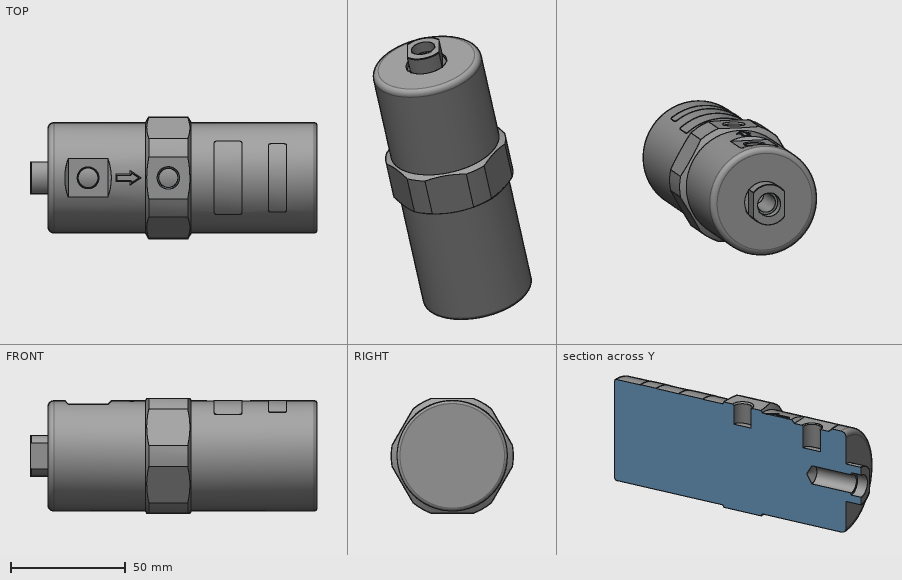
import cadquery as cq
import math

total_length = 124.7
body_diameter = 48.0
body_start = 7.6
body_nose_fillet = 2.6
body_tail_fillet = 1.2

collar_start = 50.0
collar_length = 20.0
collar_across_flats = 50.0
collar_corner_diameter = 53.2
collar_chamfer_angle = 30.0

stub_diameter = 18.0
stub_across_flats = 14.0
stub_flat_end = 8.2
stub_edge_chamfer = 0.1
stub_edge_chamfer_length = 0.4

port_entry_diameter = 10.4
port_entry_depth = 5.0
port_bore_diameter = 8.4
port_bore_end = 25.0
drill_point_angle = 118.0

recess_center = 25.1
recess_floor_length = 17.2
recess_floor_width = 16.8

recess_hole_mouth_diameter = 9.5
recess_hole_diameter = 8.6
recess_hole_core_radius = 12.0
collar_hole_mouth_diameter = 9.7
collar_hole_diameter = 8.4
collar_hole_core_radius = 15.6

arrow_tail = 37.2
arrow_head_base = 43.4
arrow_tip = 48.1
arrow_shaft_half_width = 1.6
arrow_head_half_width = 3.1
arrow_line_width = 0.5
arrow_depth = 0.2

label_pads = [(79.9, 12.1, 31.9), (103.5, 8.0, 29.7)]
label_corner_radius = 1.0
label_thickness = 0.1

body_radius = body_diameter / 2
recess_floor_height = math.sqrt(body_radius**2 - (recess_floor_width / 2) ** 2)
collar_end = collar_start + collar_length

flat_depth = (stub_diameter - stub_across_flats) / 2
stub_end = stub_flat_end + flat_depth


def cylinder_x(diameter, start, end):
    """Cylinder on the X axis between two stations."""
    return cq.Workplane("YZ", origin=(start, 0, 0)).circle(diameter / 2).extrude(end - start)


def make_body():
    """Round body with rounded rims at both ends."""
    body = cylinder_x(body_diameter, body_start, total_length)
    body = body.faces("<X").edges().fillet(body_nose_fillet)
    return body.faces(">X").edges().fillet(body_tail_fillet)


def make_collar():
    """Hexagon with flats at top and bottom, turned to a cylinder with conical ends."""
    hexagon = (
        cq.Workplane("YZ", origin=(collar_start, 0, 0))
        .polygon(6, collar_across_flats, circumscribed=True)
        .extrude(collar_length)
        .rotate((0, 0, 0), (1, 0, 0), 30)
    )
    corner_radius = collar_corner_diameter / 2
    chamfer_length = (corner_radius - body_radius) * math.tan(math.radians(collar_chamfer_angle))
    turned = (
        cq.Workplane("XZ")
        .moveTo(collar_start, 0)
        .lineTo(collar_start, body_radius)
        .lineTo(collar_start + chamfer_length, corner_radius)
        .lineTo(collar_end - chamfer_length, corner_radius)
        .lineTo(collar_end, body_radius)
        .lineTo(collar_end, 0)
        .close()
        .revolve(360, (0, 0, 0), (1, 0, 0))
    )
    return hexagon.intersect(turned)


def make_stub():
    """Round plug set into the body, with two wrench flats that run out at 45 degrees."""
    radius = stub_diameter / 2
    half_flats = stub_across_flats / 2
    stub = (
        cq.Workplane("XZ")
        .lineTo(0, radius - stub_edge_chamfer)
        .lineTo(stub_edge_chamfer_length, radius)
        .lineTo(stub_end, radius)
        .lineTo(stub_end, 0)
        .close()
        .revolve(360, (0, 0, 0), (1, 0, 0))
    )
    flats_outline = (
        cq.Workplane("XY")
        .moveTo(0, -half_flats)
        .lineTo(stub_flat_end, -half_flats)
        .lineTo(stub_end, -radius)
        .lineTo(stub_end, radius)
        .lineTo(stub_flat_end, half_flats)
        .lineTo(0, half_flats)
        .close()
        .extrude(radius, both=True)
    )
    return stub.intersect(flats_outline)


def make_port():
    """Counterbored blind hole with a drill point."""
    entry_radius = port_entry_diameter / 2
    bore_radius = port_bore_diameter / 2
    point_length = bore_radius / math.tan(math.radians(drill_point_angle / 2))
    return (
        cq.Workplane("XZ")
        .lineTo(0, entry_radius)
        .lineTo(port_entry_depth, entry_radius)
        .lineTo(port_entry_depth, bore_radius)
        .lineTo(port_bore_end, bore_radius)
        .lineTo(port_bore_end + point_length, 0)
        .close()
        .revolve(360, (0, 0, 0), (1, 0, 0))
    )


def make_recess():
    """Trapezoid with 45 degree ends, cut across the full width of the body."""
    half_floor = recess_floor_length / 2
    rise = collar_across_flats / 2 - recess_floor_height
    return (
        cq.Workplane("XZ")
        .moveTo(recess_center - half_floor, recess_floor_height)
        .lineTo(recess_center + half_floor, recess_floor_height)
        .lineTo(recess_center + half_floor + rise, recess_floor_height + rise)
        .lineTo(recess_center - half_floor - rise, recess_floor_height + rise)
        .close()
        .extrude(body_radius, both=True)
    )


def make_radial_hole(center, surface_height, mouth_diameter, bore_diameter, core_radius):
    """Vertical hole with a 45 degree mouth, ending on a round core about the X axis."""
    mouth_radius = mouth_diameter / 2
    bore_radius = bore_diameter / 2
    hole = (
        cq.Workplane("XZ", origin=(center, 0, 0))
        .lineTo(bore_radius, 0)
        .lineTo(bore_radius, surface_height - (mouth_radius - bore_radius))
        .lineTo(mouth_radius, surface_height)
        .lineTo(0, surface_height)
        .close()
        .revolve(360, (0, 0, 0), (0, 1, 0))
    )
    return hole.cut(cylinder_x(2 * core_radius, center - mouth_diameter, center + mouth_diameter))


def make_arrow():
    """Arrow outline standing through the top of the body, trimmed to the groove depth."""
    outline = (
        cq.Workplane("XY")
        .moveTo(arrow_tail, -arrow_shaft_half_width)
        .lineTo(arrow_head_base, -arrow_shaft_half_width)
        .lineTo(arrow_head_base, -arrow_head_half_width)
        .lineTo(arrow_tip, 0)
        .lineTo(arrow_head_base, arrow_head_half_width)
        .lineTo(arrow_head_base, arrow_shaft_half_width)
        .lineTo(arrow_tail, arrow_shaft_half_width)
        .close()
    )
    inner = outline.offset2D(-arrow_line_width).extrude(body_diameter)
    groove_floor = cylinder_x(body_diameter - 2 * arrow_depth, body_start, collar_start)
    return outline.toPending().extrude(body_diameter).cut(inner).cut(groove_floor)


def make_label_pad(start, length, width):
    """Rounded rectangle that follows the top of the body."""
    column = (
        cq.Workplane("XY", origin=(start + length / 2, 0, 0))
        .rect(length, width)
        .extrude(body_diameter)
        .edges("|Z")
        .fillet(label_corner_radius)
    )
    shell = cylinder_x(body_diameter + 2 * label_thickness, start, start + length)
    return column.intersect(shell)


stub_socket = cylinder_x(stub_diameter, body_start, stub_end)
result = make_body().cut(stub_socket).union(make_stub()).union(make_collar())
for pad_start, pad_length, pad_width in label_pads:
    result = result.union(make_label_pad(pad_start, pad_length, pad_width))

recess_hole = make_radial_hole(
    recess_center,
    recess_floor_height,
    recess_hole_mouth_diameter,
    recess_hole_diameter,
    recess_hole_core_radius,
)
collar_hole = make_radial_hole(
    collar_start + collar_length / 2,
    collar_across_flats / 2,
    collar_hole_mouth_diameter,
    collar_hole_diameter,
    collar_hole_core_radius,
)
for pocket in (make_recess(), recess_hole, collar_hole, make_port(), make_arrow()):
    result = result.cut(pocket)